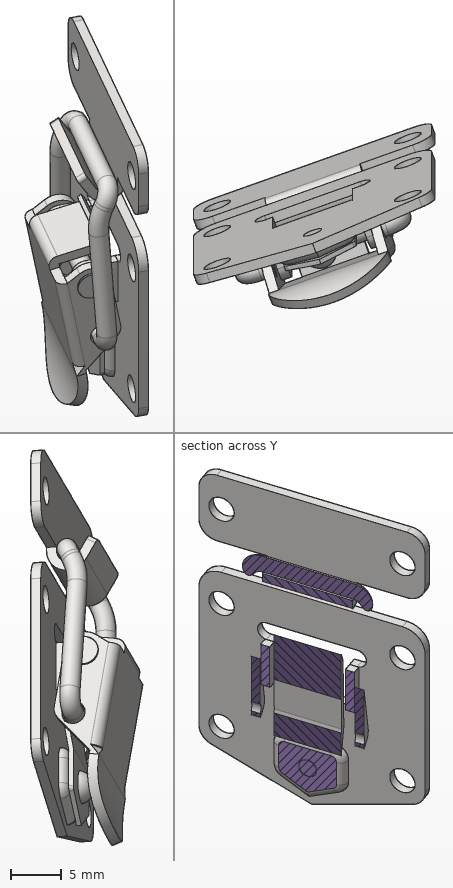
import cadquery as cq
import math


sheet = 1.0
plate_width = 25.0
screw_hole_diameter = 2.8
screw_hole_x = 10.0
far = 56.4

base_height = 25.0
base_taper_height = 4.15
base_top_radius = 2.5
base_bottom_radius = 2.0
base_hole_heights = (6.2, 21.2)
slot_length = 12.05
slot_width = 2.0
slot_z = 19.5

ear_inner_x = 4.17
ear_outer_x = ear_inner_x + sheet
ear_bottom_z = 13.5
ear_end_radius = 1.5

pad_half_width = 4.05
pad_height = 0.95
pad_point_z = 1.15
pad_shoulder_z = 3.15
pad_top_z = 8.27
pad_corner_radius = 1.5
pad_edge_radius = 0.9

pivot_y = -4.05
pivot_z = 16.95
pin_diameter = 2.0
pin_radius = pin_diameter / 2
pin_head_radius = 1.43
pin_head_height = 0.23

lever_tilt = 9.6
lever_half_width = 6.25
lever_inner_half_width = lever_half_width - sheet
cover_out = 3.3
cover_inner_out = cover_out - sheet
cover_top = 1.13
rounded_edge_bottom = -9.65
cover_bottom = -10.65
pivot_boss_radius = 2.03
wall_back_bottom = -6.77
wall_front_bottom = -10.25
wall_corner_radius = 1.5
bail_hole_up = -6.5
bail_hole_radius = 1.15
tab_half_width = 3.5
tab_top = 2.55
tab_back_out = -2.05
finger_bend_radius = 12.25
finger_turn = 30.6
finger_blank_turn = 45

strike_bottom_z = 28.7
strike_height = 8.0
strike_corner_radius = 2.0
hook_half_width = 5.0
hook_inner_radius = 1.13
hook_outer_radius = hook_inner_radius + sheet
hook_y = -hook_outer_radius
hook_z = 28.3
hook_lip_angle = 30.0
hook_lip_length = 2.35
hook_lip_corner_radius = 0.5

wire_diameter = 2.0
wire_radius = wire_diameter / 2
bail_bend_radius = 1.5
bail_knee_radius = 6.0
bail_foot_x = 8.35
bail_knee = (6.7, -3.55, 25.4)
bail_head_x = 6.45

spring_thickness = 0.5
spring_half_width = 3.72
spring_point_z = 1.0
spring_shoulder_z = 3.55
spring_shoulder_radius = 0.55
spring_seat_y = -(sheet + pad_height)
spring_lift_z = 7.75
spring_knee = (-1.4, 11.0)
spring_curl_start = (-1.55, 18.65)
spring_curl_radius = 2.85
spring_curl_turn = 41.0

rivet_z = 5.05
rivet_head_radius = 1.65
rivet_head_height = 1.28
rivet_shank_radius = 0.95


def box_between(x_range, y_range, z_range):
    """Box between the given pairs of coordinates."""
    sizes = [high - low for low, high in (x_range, y_range, z_range)]
    return cq.Workplane().box(*sizes, centered=False).translate((x_range[0], y_range[0], z_range[0]))


def front_profile():
    """Workplane facing the front, with local x = X and local y = Z."""
    return cq.Workplane("XZ")


def side_profile(half_width):
    """Workplane for (Y, Z) outlines that extrude 2 * half_width, centred on X = 0."""
    return cq.Workplane("YZ", origin=(-half_width, 0, 0))


def cross_rod(radius, half_length, y, z):
    """Cylinder along X, centred on X = 0."""
    return side_profile(half_length).center(y, z).circle(radius).extrude(2 * half_length)


def pointed_plate(half_width, point_z, shoulder_z, top_z):
    """Outline of a rectangle whose lower edge slopes down to a middle point."""
    corners = [
        (0, point_z),
        (half_width, shoulder_z),
        (half_width, top_z),
        (-half_width, top_z),
        (-half_width, shoulder_z),
    ]
    return front_profile().polyline(corners).close()


def screw_holes(heights):
    """Cutters for pairs of screw holes at the given heights."""
    points = [(side * screw_hole_x, z) for z in heights for side in (-1, 1)]
    return front_profile().pushPoints(points).circle(screw_hole_diameter / 2).extrude(sheet)


def near_height(z, margin=0.38):
    """Selector for edges whose centre lies within a margin of the given height."""
    return cq.selectors.BoxSelector((-far, -far, z - margin), (far, far, z + margin))


def turned(radius, degrees):
    """Offset from a circle's centre to its point at an angle from the first axis."""
    angle = math.radians(degrees)
    return (radius * math.cos(angle), radius * math.sin(angle))


def make_ear(side):
    """Upright ear with a front rounded around the pivot pin."""
    near_x, far_x = sorted((side * ear_inner_x, side * ear_outer_x))
    ear_front_y = pivot_y - ear_end_radius
    ear_top_z = pivot_z + ear_end_radius
    ear = box_between((near_x, far_x), (ear_front_y, -sheet / 2), (ear_bottom_z, ear_top_z))
    return ear.edges("|X and <Y").fillet(ear_end_radius)


def make_pad():
    """Raised pad with rounded corners and a rounded front edge."""
    pad = pointed_plate(pad_half_width, pad_point_z, pad_shoulder_z, pad_top_z).extrude(sheet + pad_height)
    pad = pad.edges("|Y").edges("<X or >X").fillet(pad_corner_radius)
    return pad.faces("<Y").edges().fillet(pad_edge_radius)


def make_base():
    base = pointed_plate(plate_width / 2, 0, base_taper_height, base_height).extrude(sheet)
    base = base.edges("|Y").edges(">Z").fillet(base_top_radius)
    base = base.edges("|Y").edges(near_height(base_taper_height)).fillet(base_bottom_radius)
    base = base.cut(screw_holes(base_hole_heights))
    slot = front_profile().center(0, slot_z).slot2D(slot_length, slot_width).extrude(sheet)
    window = box_between((-ear_inner_x, ear_inner_x), (-sheet, 0), (ear_bottom_z, slot_z))
    base = base.cut(slot).cut(window).union(make_pad())
    for side in (-1, 1):
        base = base.union(make_ear(side))
    base = base.cut(cross_rod(pin_radius, far, pivot_y, pivot_z))
    rivet_hole = front_profile().center(0, rivet_z).circle(rivet_shank_radius).extrude(sheet + pad_height)
    return base.cut(rivet_hole)


def make_strike():
    plate_middle_z = strike_bottom_z + strike_height / 2
    plate = front_profile().center(0, plate_middle_z).rect(plate_width, strike_height).extrude(sheet)
    plate = plate.edges("|Y").fillet(strike_corner_radius)
    plate = plate.cut(screw_holes([plate_middle_z]))
    return plate.union(make_hook())


def make_hook():
    """Hook that leaves the plate's lower edge, curls to the front and ends in a raised lip."""
    def on_hook(radius, degrees):
        dy, dz = turned(radius, degrees)
        return (hook_y + dy, hook_z + dz)

    curl_end = -180 + hook_lip_angle
    curl_middle = curl_end / 2
    lip_y, lip_z = turned(hook_lip_length, 90 + hook_lip_angle)
    outer_end = on_hook(hook_outer_radius, curl_end)
    inner_end = on_hook(hook_inner_radius, curl_end)
    hook = (
        side_profile(hook_half_width)
        .moveTo(0, strike_bottom_z)
        .lineTo(0, hook_z)
        .threePointArc(on_hook(hook_outer_radius, curl_middle), outer_end)
        .lineTo(outer_end[0] + lip_y, outer_end[1] + lip_z)
        .lineTo(inner_end[0] + lip_y, inner_end[1] + lip_z)
        .lineTo(*inner_end)
        .threePointArc(on_hook(hook_inner_radius, curl_middle), (-sheet, hook_z))
        .lineTo(-sheet, strike_bottom_z)
        .close()
        .extrude(2 * hook_half_width)
    )
    through_y, through_z = turned(1, curl_end)
    lip_corners = cq.selectors.ParallelDirSelector(cq.Vector(0, through_y, through_z))
    tip_middle = (outer_end[1] + inner_end[1]) / 2 + lip_z
    return hook.edges(lip_corners).edges(near_height(tip_middle)).fillet(hook_lip_corner_radius)


def lever_point(out, up):
    """(Y, Z) of a point in the lever's untilted frame."""
    return (-out, up)


def place_lever(body):
    """Tilt a body from the lever's frame and move it to the pivot."""
    return body.rotate((0, 0, 0), (1, 0, 0), lever_tilt).translate((0, pivot_y, pivot_z))


def make_channel():
    """Cover with two side walls that are rounded around the pivot."""
    corner_distance = math.hypot(cover_inner_out, cover_top)
    corner_angle = math.degrees(math.atan2(cover_top, cover_inner_out))
    tangent_angle = corner_angle + math.degrees(math.acos(pivot_boss_radius / corner_distance))
    arc_start = turned(pivot_boss_radius, tangent_angle)
    arc_middle = turned(pivot_boss_radius, (tangent_angle + 180) / 2)
    arc_end = turned(pivot_boss_radius, 180)
    channel = (
        side_profile(lever_half_width)
        .moveTo(*lever_point(cover_out, rounded_edge_bottom))
        .lineTo(*lever_point(cover_out, cover_top))
        .lineTo(*lever_point(cover_inner_out, cover_top))
        .lineTo(*lever_point(*arc_start))
        .threePointArc(lever_point(*arc_middle), lever_point(*arc_end))
        .lineTo(*lever_point(-pivot_boss_radius, wall_back_bottom))
        .lineTo(*lever_point(cover_inner_out, wall_front_bottom))
        .lineTo(*lever_point(cover_inner_out, rounded_edge_bottom))
        .close()
        .extrude(2 * lever_half_width)
    )
    channel = channel.edges("|X").edges(">Y").edges("<Z").fillet(wall_corner_radius)
    channel = channel.faces("<Y").edges("|Z").fillet(sheet)
    interior = box_between(
        (-lever_inner_half_width, lever_inner_half_width),
        (-cover_inner_out, far),
        (-far, far),
    )
    return channel.cut(interior)


def corner_wedge(side):
    """Tetrahedron that bevels a cover corner where its rounded long edge runs out."""
    edge_x = side * lever_half_width
    run_out = cq.Vector(edge_x, -cover_out, cover_bottom)
    corner = cq.Vector(edge_x, -cover_out, rounded_edge_bottom)
    on_front = cq.Vector(side * lever_inner_half_width, -cover_out, rounded_edge_bottom)
    on_side = cq.Vector(edge_x, -cover_inner_out, rounded_edge_bottom)
    triangles = [
        (corner, on_front, on_side),
        (corner, on_front, run_out),
        (corner, on_side, run_out),
        (on_front, on_side, run_out),
    ]
    faces = [cq.Face.makeFromWires(cq.Wire.makePolygon(points, close=True)) for points in triangles]
    return cq.Workplane(cq.Solid.makeSolid(cq.Shell.makeShell(faces)))


def make_cover_end():
    """Full-width strip of the cover between the rounded edges and the finger grip."""
    strip = box_between(
        (-lever_half_width, lever_half_width),
        (-cover_out, -cover_inner_out),
        (cover_bottom, rounded_edge_bottom),
    )
    for side in (-1, 1):
        strip = strip.cut(corner_wedge(side))
    return strip


def make_finger():
    """Grip that curves to the front from the cover and has a half-round outline."""
    centre_out = cover_out + finger_bend_radius
    back_radius = finger_bend_radius + sheet

    def on_grip(radius, degrees):
        toward_back, down = turned(radius, degrees)
        return lever_point(centre_out - toward_back, cover_bottom - down)

    blank = (
        side_profile(lever_half_width)
        .moveTo(*on_grip(finger_bend_radius, 0))
        .threePointArc(
            on_grip(finger_bend_radius, finger_blank_turn / 2), on_grip(finger_bend_radius, finger_blank_turn)
        )
        .lineTo(*on_grip(back_radius, finger_blank_turn))
        .threePointArc(on_grip(back_radius, finger_blank_turn / 2), on_grip(back_radius, 0))
        .close()
        .extrude(2 * lever_half_width)
    )
    axis_y, axis_z = turned(1, 180 - finger_turn)
    start = cq.Vector(0, -cover_out, cover_bottom)
    axis = cq.Vector(0, axis_y, axis_z)
    outline = cq.Solid.makeCylinder(lever_half_width, 2 * far, start - axis * far, axis)
    return blank.intersect(cq.Workplane(outline))


def make_tab():
    """Tab bent back from the top of the cover, over the pivot."""
    tab_x = (-tab_half_width, tab_half_width)
    front = box_between(tab_x, (-cover_out, -cover_inner_out), (rounded_edge_bottom, tab_top))
    top = box_between(tab_x, (-cover_out, -tab_back_out), (tab_top - sheet, tab_top))
    return front.union(top).edges("|X and <Y and >Z").fillet(sheet)


def make_lever():
    lever = make_channel().union(make_cover_end()).union(make_finger()).union(make_tab())
    lever = lever.cut(cross_rod(pin_radius, far, 0, 0))
    lever = lever.cut(cross_rod(bail_hole_radius, far, 0, bail_hole_up))
    return place_lever(lever)


def make_pin():
    pin = cross_rod(pin_radius, lever_half_width + pin_head_height, pivot_y, pivot_z)
    for head_x in (lever_half_width, -lever_half_width - pin_head_height):
        head = cq.Workplane("YZ", origin=(head_x, pivot_y, pivot_z)).circle(pin_head_radius)
        pin = pin.union(head.extrude(pin_head_height))
    return pin


def rounded_path(points, radii):
    """Wire through the points, with its inner corners rounded to the given radii."""
    edges = []
    position = points[0]
    for before, corner, after, radius in zip(points, points[1:], points[2:], radii):
        incoming = (before - corner).normalized()
        outgoing = (after - corner).normalized()
        half_angle = incoming.getAngle(outgoing) / 2
        tangent_length = radius / math.tan(half_angle)
        arc_start = corner + incoming * tangent_length
        arc_end = corner + outgoing * tangent_length
        bisector = (incoming + outgoing).normalized()
        arc_middle = corner + bisector * (radius / math.sin(half_angle) - radius)
        edges.append(cq.Edge.makeLine(position, arc_start))
        edges.append(cq.Edge.makeThreePointArc(arc_start, arc_middle, arc_end))
        position = arc_end
    edges.append(cq.Edge.makeLine(position, points[-1]))
    return cq.Wire.assembleEdges(edges)


def make_bail():
    """Round wire: two feet in the lever's holes, two bent legs and a bar in the strike's hook."""
    tilt = math.radians(lever_tilt)
    foot_y = pivot_y - bail_hole_up * math.sin(tilt)
    foot_z = pivot_z + bail_hole_up * math.cos(tilt)
    half = [
        (lever_inner_half_width, foot_y, foot_z),
        (bail_foot_x, foot_y, foot_z),
        bail_knee,
        (bail_head_x, hook_y, hook_z),
    ]
    left = [cq.Vector(-x, y, z) for x, y, z in half]
    right = [cq.Vector(*point) for point in reversed(half)]
    half_radii = [bail_bend_radius, bail_knee_radius, bail_bend_radius]
    path = rounded_path(left + right, half_radii + half_radii[::-1])
    section = cq.Workplane("YZ", origin=left[0].toTuple()).circle(wire_radius)
    return section.sweep(cq.Workplane(path))


def make_spring():
    """Strip riveted to the pad, rising between the ears and curling over behind the lever's tab."""
    curl_y = spring_curl_start[0] - spring_curl_radius
    curl_z = spring_curl_start[1]
    front_curl_radius = spring_curl_radius - spring_thickness

    def on_curl(radius, degrees):
        dy, dz = turned(radius, degrees)
        return (curl_y + dy, curl_z + dz)

    strip = (
        side_profile(spring_half_width)
        .moveTo(spring_seat_y, spring_point_z)
        .lineTo(spring_seat_y, spring_lift_z)
        .lineTo(*spring_knee)
        .lineTo(*spring_curl_start)
        .threePointArc(
            on_curl(spring_curl_radius, spring_curl_turn / 2), on_curl(spring_curl_radius, spring_curl_turn)
        )
        .lineTo(*on_curl(front_curl_radius, spring_curl_turn))
        .threePointArc(on_curl(front_curl_radius, spring_curl_turn / 2), on_curl(front_curl_radius, 0))
        .lineTo(spring_knee[0] - spring_thickness, spring_knee[1])
        .lineTo(spring_seat_y - spring_thickness, spring_lift_z)
        .lineTo(spring_seat_y - spring_thickness, spring_point_z)
        .close()
        .extrude(2 * spring_half_width)
    )
    outline = pointed_plate(spring_half_width, spring_point_z, spring_shoulder_z, far)
    blank = outline.extrude(far)
    blank = blank.edges("|Y").edges(near_height(spring_shoulder_z)).fillet(spring_shoulder_radius)
    rivet_hole = front_profile().center(0, rivet_z).circle(rivet_shank_radius).extrude(far)
    return strip.intersect(blank).cut(rivet_hole)


def make_rivet():
    """Domed head on the spring, with a shank through the spring and the base."""
    seat = -spring_seat_y + spring_thickness
    dome_radius = (rivet_head_radius**2 + rivet_head_height**2) / (2 * rivet_head_height)
    rim_angle = math.degrees(math.acos(rivet_head_radius / dome_radius))
    dome_middle = turned(dome_radius, (rim_angle + 90) / 2)
    dome_centre = seat + rivet_head_height - dome_radius
    return (
        cq.Workplane("XY")
        .lineTo(rivet_shank_radius, 0)
        .lineTo(rivet_shank_radius, -seat)
        .lineTo(rivet_head_radius, -seat)
        .threePointArc((dome_middle[0], -dome_centre - dome_middle[1]), (0, -seat - rivet_head_height))
        .close()
        .revolve(360, (0, 0, 0), (0, 1, 0))
        .translate((0, 0, rivet_z))
    )


base = make_base()
strike = make_strike()
lever = make_lever()
pin = make_pin()
bail = make_bail()
spring = make_spring()
rivet = make_rivet()

bodies = [base, strike, lever, pin, bail, spring, rivet]
result = cq.Compound.makeCompound([body.solids().val() for body in bodies])